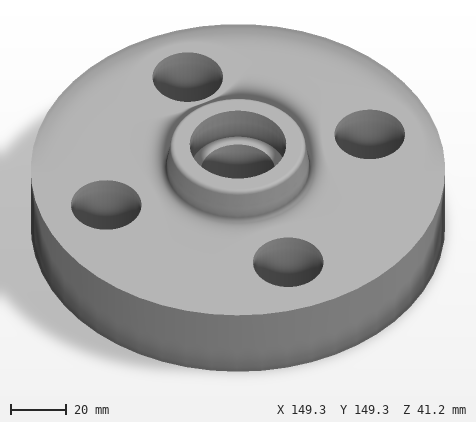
import cadquery as cq

flange_diameter = 149.3
flange_thickness = 28.5

overall_height = 41.2
hub_base_diameter = 52.3
hub_top_diameter = 48.4
hub_fillet = 1.6

bore_diameter = 26.7
socket_diameter = 34.8
socket_depth = 13.1

bolt_hole_count = 4
bolt_hole_diameter = 25.4
bolt_circle_diameter = 101.5


def make_body():
    """Revolve the disc and hub as one solid, then round the hub's base and top edges."""
    flange_radius = flange_diameter / 2
    hub_base_radius = hub_base_diameter / 2
    hub_top_radius = hub_top_diameter / 2
    profile = (
        cq.Workplane("XZ")
        .moveTo(0, 0)
        .lineTo(flange_radius, 0)
        .lineTo(flange_radius, flange_thickness)
        .lineTo(hub_base_radius, flange_thickness)
        .lineTo(hub_top_radius, overall_height)
        .lineTo(0, overall_height)
        .close()
    )
    body = profile.revolve(360, (0, 0, 0), (0, 1, 0))
    hub_circles = body.edges(cq.selectors.RadiusNthSelector(0)).add(
        body.edges(cq.selectors.RadiusNthSelector(1))
    )
    return hub_circles.fillet(hub_fillet)


def cut_bore(body):
    """Cut the through bore and the wider pipe socket at the hub's top."""
    bore = cq.Workplane("XY").circle(bore_diameter / 2).extrude(overall_height)
    socket = (
        cq.Workplane("XY")
        .workplane(offset=overall_height - socket_depth)
        .circle(socket_diameter / 2)
        .extrude(socket_depth)
    )
    return body.cut(bore).cut(socket)


def cut_bolt_holes(body):
    """Cut the evenly spaced through holes, the first one on +X."""
    holes = (
        cq.Workplane("XY")
        .polarArray(bolt_circle_diameter / 2, 0, 360, bolt_hole_count)
        .circle(bolt_hole_diameter / 2)
        .extrude(flange_thickness)
    )
    return body.cut(holes)


result = cut_bolt_holes(cut_bore(make_body()))